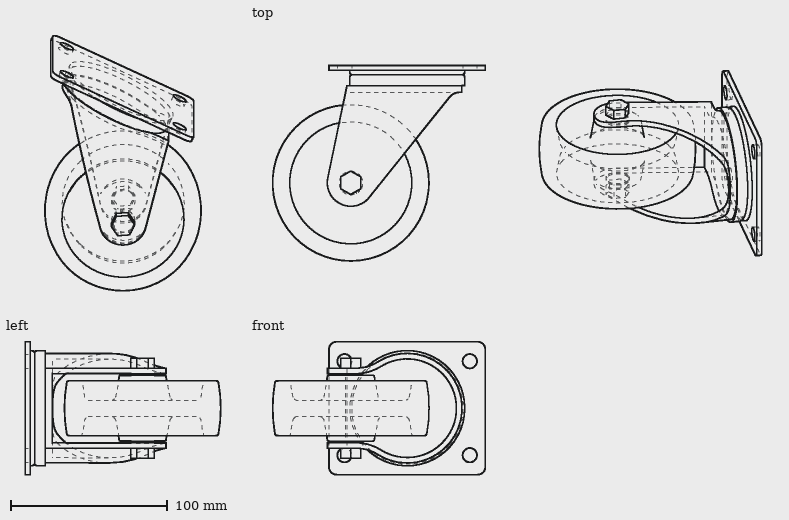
import math

import cadquery as cq


plate_length = 100.0
plate_width = 85.0
plate_thickness = 3.3
plate_corner_radius = 5.0
bolt_hole_diameter = 9.0
bolt_hole_spacing_x = 80.0
bolt_hole_spacing_z = 60.0

ring_radius = 73.6 / 2
ring_bottom = 13.0
groove_middle = 6.0
groove_half_width = 1.7
groove_edge_radius = 1.8

axle_offset = 36.0
axle_drop = 75.0

wheel_radius = 50.0
wheel_half_width = 17.6
tread_edge_radius = 48.3
tread_fillet = 1.6
web_half_thickness = 5.0
rim_inner_radius = 39.0
hub_half_length = 21.0
hub_end_radius = 14.9
hub_fillet = 1.0
recess_draft = math.radians(10)
recess_fillet = 3.5

sheet_thickness = 3.5
fork_outer_radius = 35.0
fork_leg_outer = 25.6
fork_leg_inner = fork_leg_outer - sheet_thickness
flare_radius = 26.0
fork_end_radius = 15.0
fork_roof_bottom = 17.3
fork_front_top_x = -38.5
fork_back_corner_x = 29.5
fork_back_fillet = 8.7

spacer_diameter = 15.02
hex_across_flats = 13.0
hex_end = 32.0

match_tolerance = 0.01


def make_plate():
    plate = cq.Workplane("XZ").rect(plate_length, plate_width).extrude(plate_thickness)
    plate = plate.edges("|Y").fillet(plate_corner_radius)
    return (
        plate.faces("<Y")
        .workplane(centerOption="CenterOfBoundBox")
        .rect(bolt_hole_spacing_x, bolt_hole_spacing_z, forConstruction=True)
        .vertices()
        .hole(bolt_hole_diameter)
    )


def make_swivel_ring():
    groove_depth = groove_edge_radius - math.sqrt(groove_edge_radius**2 - groove_half_width**2)
    valley_radius = ring_radius - groove_depth
    return (
        cq.Workplane("XY")
        .moveTo(0, -plate_thickness)
        .lineTo(ring_radius, -plate_thickness)
        .lineTo(ring_radius, -groove_middle + groove_half_width)
        .radiusArc((valley_radius, -groove_middle), groove_edge_radius)
        .radiusArc((ring_radius, -groove_middle - groove_half_width), groove_edge_radius)
        .lineTo(ring_radius, -ring_bottom)
        .lineTo(0, -ring_bottom)
        .close()
        .revolve(360, (0, 0, 0), (0, 1, 0))
    )


def fork_plan(arc_radius, leg_z, bend_radius):
    """Keyhole outline in X-Z: two straight legs flaring tangentially into a round back."""
    bend_z = leg_z + bend_radius
    bend_x = -math.sqrt((arc_radius + bend_radius) ** 2 - bend_z**2)
    to_arc = arc_radius / (arc_radius + bend_radius)
    join_x = bend_x * to_arc
    join_z = bend_z * to_arc
    start_angle = -math.pi / 2
    end_angle = math.atan2(-bend_z, -bend_x)
    middle_angle = (start_angle + end_angle) / 2
    mid_x = bend_x + bend_radius * math.cos(middle_angle)
    mid_z = bend_z + bend_radius * math.sin(middle_angle)
    legs_end_x = -axle_offset - 2 * fork_end_radius
    return (
        cq.Workplane("XZ", origin=(0, -ring_bottom, 0))
        .moveTo(legs_end_x, leg_z)
        .lineTo(bend_x, leg_z)
        .threePointArc((mid_x, mid_z), (join_x, join_z))
        .threePointArc((arc_radius, 0), (join_x, -join_z))
        .threePointArc((mid_x, -mid_z), (bend_x, -leg_z))
        .lineTo(legs_end_x, -leg_z)
        .close()
    )


def tangent_point(x, y, side):
    """Point where a line from (x, y) touches the rounded fork end; side is +1 or -1."""
    dx = x + axle_offset
    dy = y + axle_drop
    angle = math.atan2(dy, dx) + side * math.acos(fork_end_radius / math.hypot(dx, dy))
    return (
        -axle_offset + fork_end_radius * math.cos(angle),
        -axle_drop + fork_end_radius * math.sin(angle),
    )


def fork_side():
    """Side outline of the fork in X-Y, extruded through its full width."""
    front_x, front_y = tangent_point(fork_front_top_x, -ring_bottom, 1)
    back_x, back_y = tangent_point(fork_back_corner_x, -fork_roof_bottom, -1)
    slab = (
        cq.Workplane("XY", origin=(0, 0, -fork_outer_radius))
        .moveTo(fork_front_top_x, -ring_bottom)
        .lineTo(front_x, front_y)
        .threePointArc((-axle_offset, -axle_drop - fork_end_radius), (back_x, back_y))
        .lineTo(fork_back_corner_x, -fork_roof_bottom)
        .lineTo(fork_outer_radius, -fork_roof_bottom)
        .lineTo(fork_outer_radius, -ring_bottom)
        .close()
        .extrude(2 * fork_outer_radius)
    )
    corner = cq.selectors.NearestToPointSelector((fork_back_corner_x, -fork_roof_bottom, 0))
    return slab.edges("|Z").edges(corner).fillet(fork_back_fillet)


def make_fork():
    """Bent sheet fork with a flat roof under the ring, trimmed to its side outline."""
    height = axle_drop + fork_end_radius
    roof_thickness = fork_roof_bottom - ring_bottom
    outside = fork_plan(fork_outer_radius, fork_leg_outer, flare_radius).extrude(height)
    inside = fork_plan(
        fork_outer_radius - sheet_thickness, fork_leg_inner, flare_radius + sheet_thickness
    ).extrude(height)
    return outside.cut(inside.translate((0, -roof_thickness, 0))).intersect(fork_side())


def on_circle(radius, z):
    """Test that accepts the circular edges of the given radius at +z and -z."""

    def test(edge):
        if edge.geomType() != "CIRCLE":
            return False
        radius_error = abs(edge.radius() - radius)
        height_error = abs(abs(edge.Center().z) - z)
        return max(radius_error, height_error) < match_tolerance

    return test


def make_wheel():
    """Wheel revolved about the axle, with a tapered recess around the hub on both sides."""
    slope = math.tan(recess_draft)
    hub_base_radius = hub_end_radius + (hub_half_length - web_half_thickness) * slope
    rim_base_radius = rim_inner_radius - (wheel_half_width - web_half_thickness) * slope
    wheel = (
        cq.Workplane("XZ")
        .moveTo(0, hub_half_length)
        .lineTo(hub_end_radius, hub_half_length)
        .lineTo(hub_base_radius, web_half_thickness)
        .lineTo(rim_base_radius, web_half_thickness)
        .lineTo(rim_inner_radius, wheel_half_width)
        .lineTo(tread_edge_radius, wheel_half_width)
        .threePointArc((wheel_radius, 0), (tread_edge_radius, -wheel_half_width))
        .lineTo(rim_inner_radius, -wheel_half_width)
        .lineTo(rim_base_radius, -web_half_thickness)
        .lineTo(hub_base_radius, -web_half_thickness)
        .lineTo(hub_end_radius, -hub_half_length)
        .lineTo(0, -hub_half_length)
        .close()
        .revolve(360, (0, 0, 0), (0, 1, 0))
    )
    for radius, z, fillet in (
        (tread_edge_radius, wheel_half_width, tread_fillet),
        (hub_end_radius, hub_half_length, hub_fillet),
        (hub_base_radius, web_half_thickness, recess_fillet),
        (rim_base_radius, web_half_thickness, recess_fillet),
    ):
        wheel = wheel.edges().filter(on_circle(radius, z)).fillet(fillet)
    return wheel.translate((-axle_offset, -axle_drop, 0))


def make_axle():
    spacer = cq.Workplane("XY").circle(spacer_diameter / 2).extrude(fork_leg_inner, both=True)
    hex_corner_diameter = hex_across_flats / math.cos(math.pi / 6)
    bolt = cq.Workplane("XY").polygon(6, hex_corner_diameter).extrude(hex_end, both=True)
    bolt = bolt.rotate((0, 0, 0), (0, 0, 1), 90)
    return spacer.union(bolt).translate((-axle_offset, -axle_drop, 0))


result = (
    make_plate()
    .union(make_swivel_ring())
    .union(make_fork())
    .union(make_wheel())
    .union(make_axle())
)